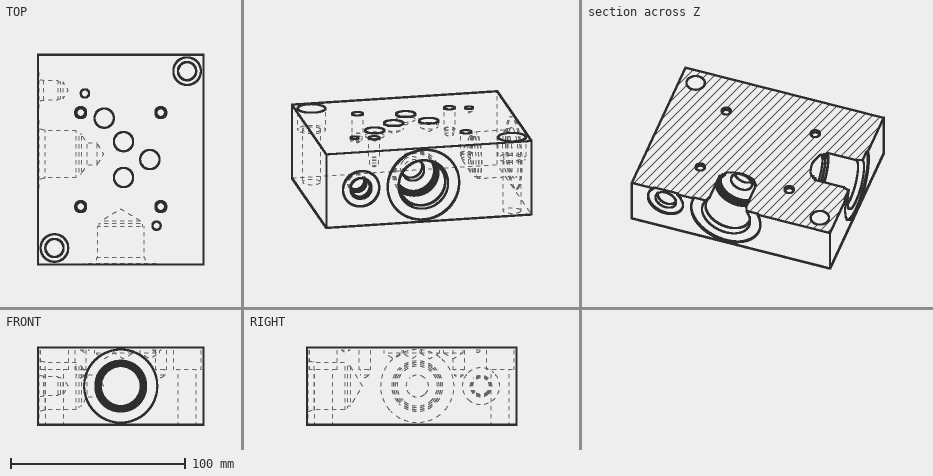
import cadquery as cq
import math

LENGTH_X = 95.25
LENGTH_Y = 120.65
HEIGHT = 44.45
MID_HEIGHT = HEIGHT / 2

DRILL_POINT_ANGLE = 118.0

BOLT_SPACING_X = 46.0
BOLT_SPACING_Y = 54.0
BOLT_LEFT = (LENGTH_X - BOLT_SPACING_X) / 2
BOLT_RIGHT = BOLT_LEFT + BOLT_SPACING_X
BOLT_FRONT = (LENGTH_Y - BOLT_SPACING_Y) / 2
BOLT_BACK = BOLT_FRONT + BOLT_SPACING_Y
BOLT_THREAD_DIAMETER = 6.35
BOLT_DRILL_DIAMETER = 5.11
BOLT_THREAD_DEPTH = 12.7
BOLT_DRILL_DEPTH = 16.0

FLOW_PORT_DIAMETER = 11.11
FLOW_PORT_DEPTH = 3.2
FLOW_PORT_OFFSETS = [(32.5, 3.2), (21.4, 16.7), (6.3, 27.0), (21.4, 37.3)]

PIN_DIAMETER = 4.78
PIN_DEPTH = 1.6
PIN_INSET_X = 2.4
PIN_OUTSET_Y = 11.0

MOUNT_EDGE_DISTANCE = 9.525
MOUNT_DIAMETER = 10.31
MOUNT_BORE_DIAMETER = 15.88
MOUNT_BORE_DEPTH = 12.7

LARGE_SPOTFACE_DIAMETER = 42.04
LARGE_SEAT_DIAMETER = 29.2
LARGE_SEAT_END_DIAMETER = 27.43
LARGE_SEAT_ANGLE = 15.0
LARGE_THREAD_DIAMETER = 26.99
LARGE_MINOR_DIAMETER = 24.92
LARGE_DRILL_DIAMETER = 23.01
LARGE_THREAD_DEPTH = 22.0
LARGE_MINOR_DEPTH = 23.5
LARGE_DRILL_DEPTH = 25.0
PORT_A_Y = 63.5
PORT_A_PILOT_DIAMETER = 12.7
PORT_A_PILOT_DEPTH = 34.0
PORT_B_X = LENGTH_X / 2

SMALL_SPOTFACE_DIAMETER = 21.29
SMALL_SEAT_DIAMETER = 12.45
SMALL_SEAT_END_DIAMETER = 11.45
SMALL_SEAT_ANGLE = 12.0
SMALL_THREAD_DIAMETER = 11.11
SMALL_MINOR_DIAMETER = 9.88
SMALL_DRILL_DIAMETER = 9.53
SMALL_THREAD_DEPTH = 11.5
SMALL_MINOR_DEPTH = 13.0
SMALL_DRILL_DEPTH = 14.5
PORT_Y_Y = 100.1

SPOTFACE_DEPTH = 0.76


def drill_point_length(diameter):
    """Height of the conical end left by a drill."""
    return diameter / 2 / math.tan(math.radians(DRILL_POINT_ANGLE / 2))


def stepped_hole(profile):
    """Revolved cutter pointing down from z = 0, from (diameter, depth) pairs, ending in a drill point."""
    last_diameter, last_depth = profile[-1]
    tip_depth = last_depth + drill_point_length(last_diameter)
    points = [(diameter / 2, -depth) for diameter, depth in profile]
    outline = [(0, 0)] + points + [(0, -tip_depth)]
    return cq.Workplane("XZ").polyline(outline).close().revolve(360, (0, 0), (0, 1))


def blind_hole(diameter, depth):
    """Plain drilled hole whose depth is measured to the start of the drill point."""
    return stepped_hole([(diameter, 0), (diameter, depth)])


def threaded_port(spotface, seat, seat_end, seat_angle, bores):
    """Spotfaced port with a tapered seal seat followed by (diameter, depth) bores."""
    seat_depth = (seat - seat_end) / 2 / math.tan(math.radians(seat_angle))
    profile = [
        (spotface, 0),
        (spotface, SPOTFACE_DEPTH),
        (seat, SPOTFACE_DEPTH),
        (seat_end, SPOTFACE_DEPTH + seat_depth),
    ]
    start = SPOTFACE_DEPTH + seat_depth
    for diameter, depth in bores:
        profile += [(diameter, start), (diameter, depth)]
        start = depth
    return stepped_hole(profile)


def large_port():
    bores = [
        (LARGE_THREAD_DIAMETER, LARGE_THREAD_DEPTH),
        (LARGE_MINOR_DIAMETER, LARGE_MINOR_DEPTH),
        (LARGE_DRILL_DIAMETER, LARGE_DRILL_DEPTH),
    ]
    return threaded_port(
        LARGE_SPOTFACE_DIAMETER, LARGE_SEAT_DIAMETER, LARGE_SEAT_END_DIAMETER, LARGE_SEAT_ANGLE, bores
    )


def small_port():
    bores = [
        (SMALL_THREAD_DIAMETER, SMALL_THREAD_DEPTH),
        (SMALL_MINOR_DIAMETER, SMALL_MINOR_DEPTH),
        (SMALL_DRILL_DIAMETER, SMALL_DRILL_DEPTH),
    ]
    return threaded_port(
        SMALL_SPOTFACE_DIAMETER, SMALL_SEAT_DIAMETER, SMALL_SEAT_END_DIAMETER, SMALL_SEAT_ANGLE, bores
    )


def on_left_face(cutter, y):
    """Turn a downward cutter to point along +X from the -X face at mid height."""
    return cutter.rotate((0, 0, 0), (0, 1, 0), -90).translate((0, y, MID_HEIGHT))


def on_front_face(cutter, x):
    """Turn a downward cutter to point along +Y from the -Y face at mid height."""
    return cutter.rotate((0, 0, 0), (1, 0, 0), 90).translate((x, 0, MID_HEIGHT))


def cut_from_top(body, cutter, places):
    for x, y in places:
        body = body.cut(cutter.translate((x, y, HEIGHT)))
    return body


def cut_mounting_holes(body):
    places = [
        (MOUNT_EDGE_DISTANCE, MOUNT_EDGE_DISTANCE),
        (LENGTH_X - MOUNT_EDGE_DISTANCE, LENGTH_Y - MOUNT_EDGE_DISTANCE),
    ]
    top = cq.Workplane("XY", origin=(0, 0, HEIGHT)).pushPoints(places)
    through = top.circle(MOUNT_DIAMETER / 2).extrude(-HEIGHT)
    counterbore = top.circle(MOUNT_BORE_DIAMETER / 2).extrude(-MOUNT_BORE_DEPTH)
    return body.cut(through).cut(counterbore)


def cut_valve_pattern(body):
    bolt_hole = stepped_hole([
        (BOLT_THREAD_DIAMETER, 0),
        (BOLT_THREAD_DIAMETER, BOLT_THREAD_DEPTH),
        (BOLT_DRILL_DIAMETER, BOLT_THREAD_DEPTH),
        (BOLT_DRILL_DIAMETER, BOLT_DRILL_DEPTH),
    ])
    bolts = [(x, y) for x in (BOLT_LEFT, BOLT_RIGHT) for y in (BOLT_FRONT, BOLT_BACK)]
    body = cut_from_top(body, bolt_hole, bolts)

    flow_ports = [(BOLT_RIGHT - dx, BOLT_BACK - dy) for dx, dy in FLOW_PORT_OFFSETS]
    body = cut_from_top(body, blind_hole(FLOW_PORT_DIAMETER, FLOW_PORT_DEPTH), flow_ports)

    pins = [
        (BOLT_LEFT + PIN_INSET_X, BOLT_BACK + PIN_OUTSET_Y),
        (BOLT_RIGHT - PIN_INSET_X, BOLT_FRONT - PIN_OUTSET_Y),
    ]
    return cut_from_top(body, blind_hole(PIN_DIAMETER, PIN_DEPTH), pins)


def cut_side_ports(body):
    pilot = blind_hole(PORT_A_PILOT_DIAMETER, PORT_A_PILOT_DEPTH)
    body = body.cut(on_left_face(large_port(), PORT_A_Y))
    body = body.cut(on_left_face(pilot, PORT_A_Y))
    body = body.cut(on_left_face(small_port(), PORT_Y_Y))
    return body.cut(on_front_face(large_port(), PORT_B_X))


block = cq.Workplane("XY").box(LENGTH_X, LENGTH_Y, HEIGHT, centered=False)
block = cut_mounting_holes(block)
block = cut_valve_pattern(block)
result = cut_side_ports(block)